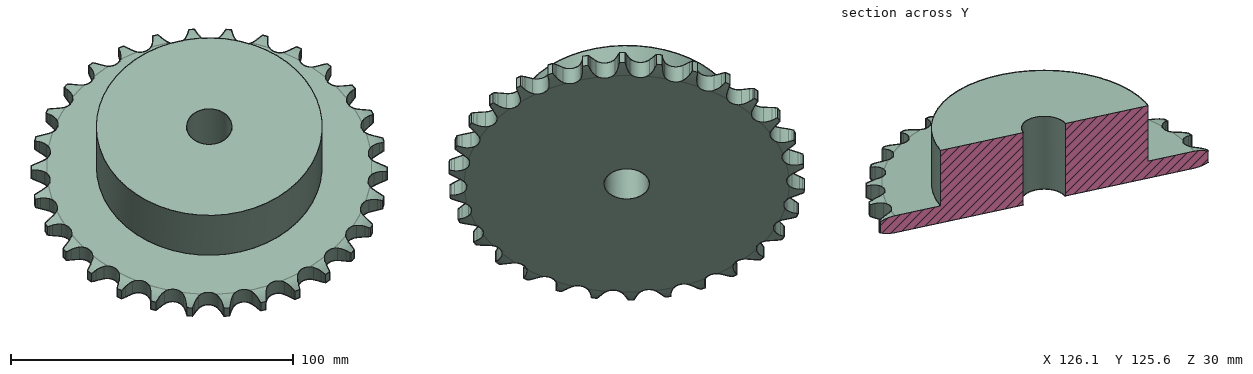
import cadquery as cq
import math

teeth = 30
chain_pitch = 12.7
seat_radius = 4.3
seat_half_angle = 53.0
hollow_radius = 11.1
hollow_angle = 16.1
straight_length = 1.16
nose_radius = 6.9
nose_sweep = 16.0
tip_diameter = 126.1

plate_thickness = 7.2
plate_face_radius = 57.5
relief_radius = 13.0

hub_diameter = 80.0
bore_diameter = 16.0
overall_height = 30.0

tip_radius = tip_diameter / 2
tooth_step = 360.0 / teeth
pitch_radius = chain_pitch / (2 * math.sin(math.pi / teeth))


def plate_blank():
    """Disc revolved from a half section whose rim is rounded on both faces."""
    relief_width = tip_radius - plate_face_radius
    half_angle = math.asin(relief_width / relief_radius) / 2
    tip_drop = relief_radius - math.sqrt(relief_radius**2 - relief_width**2)
    mid_radius = plate_face_radius + relief_radius * math.sin(half_angle)
    mid_drop = relief_radius * (1 - math.cos(half_angle))
    return (
        cq.Workplane("XZ")
        .lineTo(plate_face_radius, 0)
        .threePointArc((mid_radius, mid_drop), (tip_radius, tip_drop))
        .lineTo(tip_radius, plate_thickness - tip_drop)
        .threePointArc(
            (mid_radius, plate_thickness - mid_drop),
            (plate_face_radius, plate_thickness),
        )
        .lineTo(0, plate_thickness)
        .close()
        .revolve(360, (0, 0, 0), (0, 1, 0))
    )


def polar(center, radius, angle):
    """Point at the given distance and angle (degrees) from a centre."""
    turn = math.radians(angle)
    return center[0] + radius * math.cos(turn), center[1] + radius * math.sin(turn)


def mirrored(point):
    """Matching point on the other side of the gap centre line."""
    return point[0], -point[1]


def tooth_gap():
    """Cutter for one gap on +X; both flanks follow the same tangent curve."""
    seat_center = (pitch_radius, 0)
    seat_normal = 180 - seat_half_angle
    straight_normal = seat_normal - hollow_angle
    root = polar(seat_center, seat_radius, 180)
    seat_end = polar(seat_center, seat_radius, seat_normal)

    hollow_center = polar(seat_end, -hollow_radius, seat_normal)
    hollow_mid = polar(hollow_center, hollow_radius, seat_normal - hollow_angle / 2)
    hollow_end = polar(hollow_center, hollow_radius, straight_normal)
    straight_end = polar(hollow_end, straight_length, straight_normal - 90)

    nose_center = polar(straight_end, nose_radius, straight_normal)
    nose_start = straight_normal - 180
    nose_mid = polar(nose_center, nose_radius, nose_start + nose_sweep / 2)
    nose_end = polar(nose_center, nose_radius, nose_start + nose_sweep)

    return (
        cq.Workplane("XY")
        .moveTo(*mirrored(nose_end))
        .threePointArc(mirrored(nose_mid), mirrored(straight_end))
        .lineTo(*mirrored(hollow_end))
        .threePointArc(mirrored(hollow_mid), mirrored(seat_end))
        .threePointArc(root, seat_end)
        .threePointArc(hollow_mid, hollow_end)
        .lineTo(*straight_end)
        .threePointArc(nose_mid, nose_end)
        .close()
        .extrude(plate_thickness)
    )


result = plate_blank()
gap = tooth_gap()
for index in range(teeth):
    result = result.cut(gap.rotate((0, 0, 0), (0, 0, 1), (index + 0.5) * tooth_step))

hub = cq.Workplane("XY").circle(hub_diameter / 2).extrude(overall_height)
bore = cq.Workplane("XY").circle(bore_diameter / 2).extrude(overall_height)
result = result.union(hub).cut(bore)